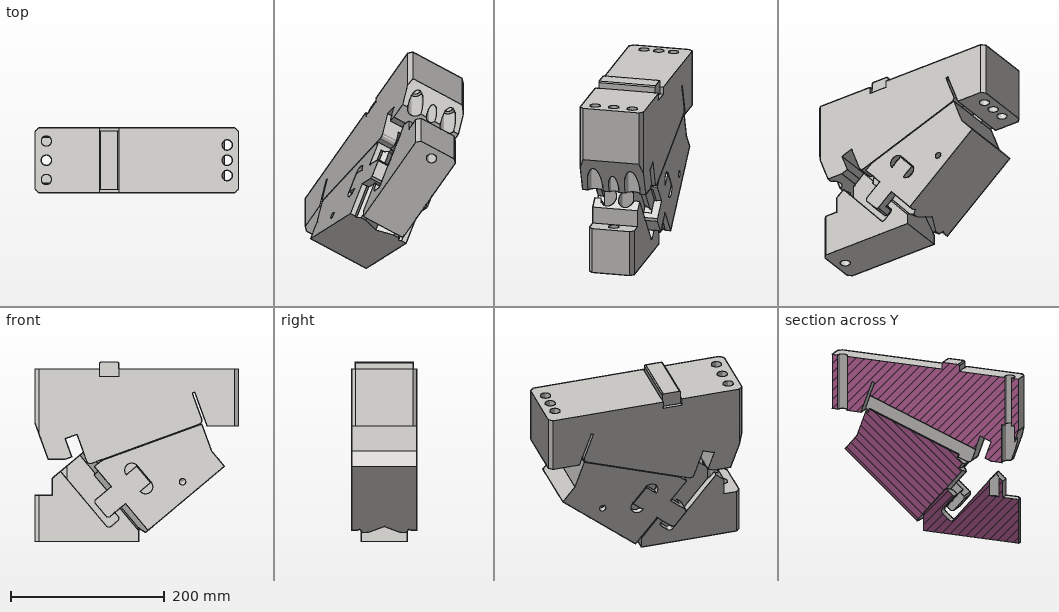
import cadquery as cq
import math


LENGTH = 265.0
WIDTH = 85.0
HEIGHT = 234.0
CORNER_CHAMFER = 5.0
MARGIN = 159.0

GUIDE_ANGLE = 20.0
CAM_ANGLE = 50.0
ROOF_SLOPE = math.tan(math.radians(30.0))

cos_guide = math.cos(math.radians(GUIDE_ANGLE))
sin_guide = math.sin(math.radians(GUIDE_ANGLE))
cos_cam = math.cos(math.radians(CAM_ANGLE))
sin_cam = math.sin(math.radians(CAM_ANGLE))

ALONG_X = (1.0, 0.0)
ALONG_Z = (0.0, 1.0)
ALONG_GUIDE = (cos_guide, sin_guide)
OFF_GUIDE = (-sin_guide, cos_guide)
ALONG_CAM = (cos_cam, -sin_cam)
OFF_CAM = (sin_cam, cos_cam)

GUIDE_PLANE = cq.Plane(origin=(0, 0, 0), xDir=(cos_guide, 0, sin_guide), normal=(0, -1, 0))
CAM_PLANE = cq.Plane(origin=(0, 0, 0), xDir=(cos_cam, 0, -sin_cam), normal=(0, -1, 0))

DRIVER_TOP = 224.7
DRIVER_TAIL_BOTTOM = 150.3
LEG_BOTTOM = 107.0
LEG_FRONT = 52.7
LEG_FOOT = 87.2
FRONT_SLOT_START = 83.0
FRONT_SLOT_END = 99.0
FRONT_SLOT_TOP = 112.4
GUIDE_FACE = 70.5
REAR_SLOT_START = 258.6
REAR_SLOT_WIDTH = 3.2
REAR_SLOT_TOP = 111.5
NOSE_RADIUS = 5.3

KEY_START = 84.0
KEY_WIDTH = 25.2
KEY_LENGTH = 75.8
KEY_SLOT_DEPTH = 9.5
KEY_CHAMFER = 1.5

HOLE_DIAMETER = 13.2
FRONT_HOLE_X = 14.8
FRONT_SCREW_Y = 25.0
FRONT_COUNTERBORE = 20.5
FRONT_COUNTERBORE_TOP = 159.0
REAR_HOLE_X = 250.2
REAR_SCREW_Y = 20.0

TONGUE_HALF_WIDTH = 21.7
TONGUE_HEIGHT = 5.3
TONGUE_START = 118.0
TONGUE_END = 253.0
GROOVE_DEPTH = 21.5

GUIDE_GAP = 1.0
SLIDER_FRONT = -25.2
SLIDER_BACK = 83.5
SLIDER_UNDERSIDE = 122.2
SLIDER_TAIL = 252.0
SLIDER_REAR = 256.5
SLIDER_CORNER_RADIUS = 16.0

PAD_START = -17.2
PAD_RELIEF_OUTER = 35.5
PAD_RELIEF_INNER = 32.0
PAD_LEAD_LENGTH = 9.5
PAD_LEAD_DROP = 4.2
ENTRY_HALF_WIDTH = 23.8

HOOK_START = 9.0
HOOK_END = 38.0
HOOK_TIP = 92.2
HOOK_TIP_THICKNESS = 10.3
HOOK_WEB_INNER = 32.5
HOOK_TIP_INNER = 21.7
HOOK_CHAMFER = 2.6

SIDE_POCKET_START = 9.8
SIDE_POCKET_END = 38.0
SIDE_POCKET_OFFSET = 156.4
SIDE_POCKET_RADIUS = 9.3
SIDE_POCKET_CHANNEL = 1.0
SIDE_POCKET_DEPTH = 8.0
SIDE_HOLE_X = 192.0
SIDE_HOLE_Z = 78.0
SIDE_HOLE_DIAMETER = 8.5
SIDE_HOLE_DEPTH = 8.0
DRILL_POINT_ANGLE = 118.0

BASE_LENGTH = 135.2
BASE_HALF_WIDTH = 30.2
BASE_STEP_HEIGHT = 60.5
BASE_STEP_LENGTH = 22.3
BASE_FRONT = -48.8
ROOF_EAVE_DROP = 9.5
NECK_HALF_WIDTH = 19.5
NECK_EAVE_DROP = 5.0
HOOK_GROOVE_FLOOR = 84.3
HOOK_GROOVE_TOP = 104.1
HOOK_GROOVE_END = 48.5
HOOK_GROOVE_RADIUS = 4.2
FLANGE_START = 18.5
CLEARANCE_BORE_X = 35.0
CLEARANCE_BORE_Y = 12.0
CLEARANCE_BORE_DIAMETER = 20.5
CLEARANCE_BORE_FLOOR = BASE_STEP_HEIGHT

roof_ridge = BASE_HALF_WIDTH * ROOF_SLOPE - ROOF_EAVE_DROP
neck_ridge = NECK_HALF_WIDTH * ROOF_SLOPE - NECK_EAVE_DROP
entry_ridge = ENTRY_HALF_WIDTH * ROOF_SLOPE
pad_relief_top = (PAD_RELIEF_OUTER - PAD_RELIEF_INNER) * ROOF_SLOPE
pad_edge_top = PAD_RELIEF_INNER / ROOF_SLOPE - pad_relief_top
pad_half_width = (pad_edge_top + roof_ridge) / (ROOF_SLOPE + 1 / ROOF_SLOPE)
pad_bottom = roof_ridge - pad_half_width * ROOF_SLOPE


def meet(direction_a, reach_a, direction_b, reach_b):
    """XZ point that lies reach_a along direction_a and reach_b along direction_b."""
    det = direction_a[0] * direction_b[1] - direction_a[1] * direction_b[0]
    x = (reach_a * direction_b[1] - reach_b * direction_a[1]) / det
    z = (direction_a[0] * reach_b - direction_b[0] * reach_a) / det
    return (x, z)


def on_guide(along, off):
    return meet(ALONG_GUIDE, along, OFF_GUIDE, off)


def on_cam(along, off):
    return meet(ALONG_CAM, along, OFF_CAM, off)


def plate(points, half_width):
    """XZ outline extruded to both sides of the XZ plane."""
    return cq.Workplane("XZ").polyline(points).close().extrude(half_width, both=True)


def block(plane, x_range, y_range, half_width):
    """Rectangular block on an inclined plane, extruded to both sides of the XZ plane."""
    x0, x1 = x_range
    y0, y1 = y_range
    middle = ((x0 + x1) / 2, (y0 + y1) / 2)
    return cq.Workplane(plane).center(*middle).rect(x1 - x0, y1 - y0).extrude(half_width, both=True)


def cam_profile(points, start, end):
    """Profile across the slider underside, extruded along the cam face."""
    x, z = on_cam(start, SLIDER_UNDERSIDE)
    across = cq.Plane(origin=(x, 0, z), xDir=(0, 1, 0), normal=(cos_cam, 0, -sin_cam))
    return cq.Workplane(across).polyline(points).close().extrude(end - start)


def upright_cylinder(x, y, diameter, bottom, top):
    return cq.Workplane("XY", origin=(x, y, bottom)).circle(diameter / 2).extrude(top - bottom)


def corner_edge(body, point, y_middle=0):
    """Select the edge along Y whose middle is at an XZ corner point."""
    corner = cq.selectors.NearestToPointSelector((point[0], y_middle, point[1]))
    return body.edges("|Y").edges(corner)


def round_corner(body, point, radius):
    return corner_edge(body, point).fillet(radius)


def make_driver():
    slot_far_side = REAR_SLOT_START + REAR_SLOT_WIDTH
    nose_front = on_guide(FRONT_SLOT_END, GUIDE_FACE)
    nose_rear = on_guide(REAR_SLOT_START, GUIDE_FACE)
    body = plate([
        (0, DRIVER_TOP),
        (LENGTH, DRIVER_TOP),
        (LENGTH, DRIVER_TAIL_BOTTOM),
        meet(ALONG_Z, DRIVER_TAIL_BOTTOM, ALONG_GUIDE, slot_far_side),
        on_guide(slot_far_side, REAR_SLOT_TOP),
        on_guide(REAR_SLOT_START, REAR_SLOT_TOP),
        nose_rear,
        nose_front,
        on_guide(FRONT_SLOT_END, FRONT_SLOT_TOP),
        on_guide(FRONT_SLOT_START, FRONT_SLOT_TOP),
        on_guide(FRONT_SLOT_START, LEG_FOOT),
        meet(OFF_GUIDE, LEG_FOOT, ALONG_Z, LEG_BOTTOM),
        meet(ALONG_Z, LEG_BOTTOM, ALONG_GUIDE, LEG_FRONT),
        meet(ALONG_GUIDE, LEG_FRONT, ALONG_X, 0),
    ], WIDTH / 2)
    for corner in (nose_front, nose_rear):
        body = round_corner(body, corner, NOSE_RADIUS)
    body = body.edges("|Z").chamfer(CORNER_CHAMFER)

    body = body.cut(block(
        GUIDE_PLANE,
        (FRONT_SLOT_END - NOSE_RADIUS, REAR_SLOT_START),
        (GUIDE_FACE, GUIDE_FACE + GROOVE_DEPTH),
        TONGUE_HALF_WIDTH,
    ))

    for y in (-FRONT_SCREW_Y, 0, FRONT_SCREW_Y):
        body = body.cut(upright_cylinder(FRONT_HOLE_X, y, HOLE_DIAMETER, 0, HEIGHT))
    for y in (-FRONT_SCREW_Y, FRONT_SCREW_Y):
        body = body.cut(upright_cylinder(FRONT_HOLE_X, y, FRONT_COUNTERBORE, 0, FRONT_COUNTERBORE_TOP))
    for y in (-REAR_SCREW_Y, 0, REAR_SCREW_Y):
        body = body.cut(upright_cylinder(REAR_HOLE_X, y, HOLE_DIAMETER, 0, HEIGHT))

    slot_floor = DRIVER_TOP - KEY_SLOT_DEPTH
    key_middle = KEY_START + KEY_WIDTH / 2
    seat = cq.Workplane("XY", origin=(key_middle, 0, slot_floor))
    key_height = HEIGHT - slot_floor
    key = seat.rect(KEY_WIDTH, KEY_LENGTH).extrude(key_height)
    key = key.faces(">Z").edges("|Y").chamfer(KEY_CHAMFER)
    return body.cut(seat.rect(KEY_WIDTH, WIDTH).extrude(key_height)).union(key)


def make_hook(side):
    """Return hook on one side: a web that hangs down outside the base, with an inward tip."""
    def slab(inner, top):
        thickness = WIDTH / 2 - inner
        middle = (inner + thickness / 2) * side
        return block(
            CAM_PLANE, (HOOK_START, HOOK_END), (HOOK_TIP, top), thickness / 2
        ).translate((0, middle, 0))

    hook = slab(HOOK_WEB_INNER, SLIDER_UNDERSIDE)
    hook = hook.union(slab(HOOK_TIP_INNER, HOOK_TIP + HOOK_TIP_THICKNESS))
    tip_middle = side * (HOOK_TIP_INNER + WIDTH / 2) / 2
    for along in (HOOK_START, HOOK_END):
        hook = corner_edge(hook, on_cam(along, HOOK_TIP), tip_middle).chamfer(HOOK_CHAMFER)
    return hook


def make_side_pocket():
    """Pocket with two round ends, joined by a narrow channel along its upper side."""
    straight = SIDE_POCKET_END - SIDE_POCKET_START
    middle = (SIDE_POCKET_START + SIDE_POCKET_END) / 2
    outline = cq.Workplane(CAM_PLANE).center(middle, SIDE_POCKET_OFFSET)
    pocket = outline.slot2D(straight + 2 * SIDE_POCKET_RADIUS, 2 * SIDE_POCKET_RADIUS)
    pocket = pocket.extrude(SIDE_POCKET_DEPTH)
    upper_side = SIDE_POCKET_OFFSET + SIDE_POCKET_RADIUS
    island = block(
        CAM_PLANE,
        (SIDE_POCKET_START, SIDE_POCKET_END),
        (SIDE_POCKET_OFFSET - SIDE_POCKET_RADIUS, upper_side - SIDE_POCKET_CHANNEL),
        WIDTH,
    )
    return pocket.cut(island)


def make_side_hole(side):
    """Blind hole with a drill point, sunk into one side of the slider."""
    radius = SIDE_HOLE_DIAMETER / 2
    point_depth = radius / math.tan(math.radians(DRILL_POINT_ANGLE / 2))
    start = cq.Vector(SIDE_HOLE_X, side * WIDTH / 2, SIDE_HOLE_Z)
    inward = cq.Vector(0, -side, 0)
    hole = cq.Solid.makeCylinder(radius, SIDE_HOLE_DEPTH, start, inward)
    point = cq.Solid.makeCone(radius, 0, point_depth, start + inward * SIDE_HOLE_DEPTH, inward)
    return cq.Workplane(hole).union(cq.Workplane(point))


def make_slider():
    top = GUIDE_FACE - GUIDE_GAP
    front_corner = meet(ALONG_CAM, SLIDER_FRONT, OFF_GUIDE, top)
    body = plate([
        on_cam(SLIDER_FRONT, SLIDER_UNDERSIDE),
        front_corner,
        on_guide(SLIDER_REAR, top),
        meet(ALONG_GUIDE, SLIDER_REAR, OFF_CAM, SLIDER_TAIL),
        on_cam(SLIDER_BACK, SLIDER_TAIL),
        on_cam(SLIDER_BACK, SLIDER_UNDERSIDE),
    ], WIDTH / 2)
    body = round_corner(body, front_corner, SLIDER_CORNER_RADIUS)

    body = body.union(cam_profile([
        (PAD_RELIEF_INNER, pad_relief_top),
        (pad_half_width, pad_bottom),
        (-pad_half_width, pad_bottom),
        (-PAD_RELIEF_INNER, pad_relief_top),
    ], PAD_START, SLIDER_BACK))
    for side in (-1, 1):
        body = body.cut(cam_profile([
            (side * PAD_RELIEF_OUTER, 0),
            (side * PAD_RELIEF_INNER, pad_relief_top),
            (side * (PAD_RELIEF_INNER - pad_relief_top * ROOF_SLOPE), 0),
        ], PAD_START, SLIDER_BACK))
    body = body.cut(plate([
        on_cam(SLIDER_BACK, SLIDER_UNDERSIDE - PAD_LEAD_DROP),
        on_cam(SLIDER_BACK - PAD_LEAD_LENGTH, SLIDER_UNDERSIDE + pad_bottom),
        on_cam(SLIDER_BACK, SLIDER_UNDERSIDE + pad_bottom),
    ], WIDTH / 2))

    body = body.cut(cam_profile(
        [(-ENTRY_HALF_WIDTH, 0), (0, entry_ridge), (ENTRY_HALF_WIDTH, 0)], SLIDER_FRONT, PAD_START))
    body = body.cut(cam_profile(
        [(-pad_half_width, pad_bottom), (0, roof_ridge), (pad_half_width, pad_bottom)],
        PAD_START, SLIDER_BACK))

    body = body.union(block(
        GUIDE_PLANE,
        (TONGUE_START, TONGUE_END),
        (top - TONGUE_HEIGHT, top + TONGUE_HEIGHT),
        TONGUE_HALF_WIDTH,
    ))

    for side in (-1, 1):
        body = body.union(make_hook(side))

    pocket = make_side_pocket()
    for side, pocket_floor in ((-1, SIDE_POCKET_DEPTH - WIDTH / 2), (1, WIDTH / 2)):
        body = body.cut(pocket.translate((0, pocket_floor, 0)))
        body = body.cut(make_side_hole(side))
    return body


def roof_cutter(half_width, eave_drop, ridge, start, end):
    """Everything above one stretch of the cam roof."""
    return cam_profile([
        (-WIDTH, -eave_drop - (WIDTH - half_width) * ROOF_SLOPE),
        (0, ridge),
        (WIDTH, -eave_drop - (WIDTH - half_width) * ROOF_SLOPE),
        (WIDTH, ridge + WIDTH),
        (-WIDTH, ridge + WIDTH),
    ], start, end)


def make_base():
    ridge = SLIDER_UNDERSIDE + roof_ridge
    body = plate([
        (0, 0),
        (0, BASE_STEP_HEIGHT),
        (BASE_STEP_LENGTH, BASE_STEP_HEIGHT),
        meet(ALONG_X, BASE_STEP_LENGTH, ALONG_CAM, BASE_FRONT),
        on_cam(BASE_FRONT, ridge),
        meet(OFF_CAM, ridge, ALONG_X, BASE_LENGTH),
        (BASE_LENGTH, 0),
    ], BASE_HALF_WIDTH)
    body = body.faces("<X").edges("|Z").chamfer(CORNER_CHAMFER)

    groove = block(
        CAM_PLANE, (BASE_FRONT - MARGIN, HOOK_GROOVE_END), (HOOK_GROOVE_FLOOR, HOOK_GROOVE_TOP), WIDTH)
    for off in (HOOK_GROOVE_FLOOR, HOOK_GROOVE_TOP):
        groove = round_corner(groove, on_cam(HOOK_GROOVE_END, off), HOOK_GROOVE_RADIUS)
    opening = block(CAM_PLANE, (BASE_FRONT, FLANGE_START), (HOOK_GROOVE_FLOOR, ridge), WIDTH)
    neck = block(CAM_PLANE, (BASE_FRONT - MARGIN, MARGIN), (0, ridge), NECK_HALF_WIDTH)
    body = body.cut(groove.union(opening).cut(neck))

    body = body.cut(roof_cutter(NECK_HALF_WIDTH, NECK_EAVE_DROP, neck_ridge, BASE_FRONT, FLANGE_START))
    body = body.cut(roof_cutter(BASE_HALF_WIDTH, ROOF_EAVE_DROP, roof_ridge, FLANGE_START, MARGIN))

    body = body.cut(upright_cylinder(FRONT_HOLE_X, 0, HOLE_DIAMETER, 0, HEIGHT))
    for y in (-CLEARANCE_BORE_Y, CLEARANCE_BORE_Y):
        body = body.cut(upright_cylinder(
            CLEARANCE_BORE_X, y, CLEARANCE_BORE_DIAMETER, CLEARANCE_BORE_FLOOR, HEIGHT))
    return body


driver = make_driver()
slider = make_slider()
base = make_base()

result = cq.Compound.makeCompound([driver.solids().val(), slider.solids().val(), base.solids().val()])